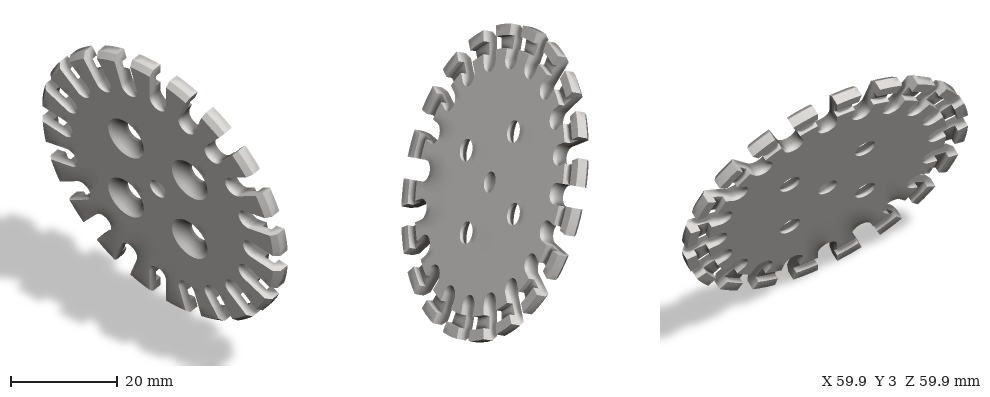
import cadquery as cq

disc_radius = 30.0
thickness = 3.0
rim_chamfer = 1.0

slot_count = 20
slot_width = 4.1
slot_center_radius = 23.45

groove_inner_radius = 25.35
groove_width = 2.5
groove_outer_radius = groove_inner_radius + groove_width
groove_depth = 1.25

center_hole_diameter = 4.0
screw_hole_diameter = 4.3
screw_head_diameter = 8.95
screw_head_angle = 90.0
screw_spacing = 16.0

front_y = -thickness / 2
back_y = thickness / 2


def plane_at(y):
    """Plane square to the disc axis: local x is X, local y is Z, normal is -Y."""
    return cq.Workplane("XZ", origin=(0, y, 0))


def make_disc():
    disc = plane_at(back_y).circle(disc_radius).extrude(thickness)
    return disc.faces("<Y").chamfer(rim_chamfer)


def make_slot(angle):
    """Round-ended cutter that runs outward past the rim."""
    half_width = slot_width / 2
    slot_end = disc_radius + slot_width
    slot = (
        plane_at(back_y)
        .moveTo(slot_end, half_width)
        .lineTo(slot_center_radius, half_width)
        .threePointArc(
            (slot_center_radius - half_width, 0),
            (slot_center_radius, -half_width),
        )
        .lineTo(slot_end, -half_width)
        .close()
        .extrude(thickness)
    )
    return slot.rotate((0, 0, 0), (0, 1, 0), angle)


def make_groove():
    return (
        plane_at(back_y)
        .circle(groove_outer_radius)
        .circle(groove_inner_radius)
        .extrude(groove_depth)
    )


def cut_holes(body):
    body = body.cut(plane_at(back_y).circle(center_hole_diameter / 2).extrude(thickness))
    return (
        body.copyWorkplane(plane_at(front_y))
        .rect(screw_spacing, screw_spacing, forConstruction=True)
        .vertices()
        .cskHole(screw_hole_diameter, screw_head_diameter, screw_head_angle)
    )


wheel = make_disc().cut(make_groove())
for index in range(slot_count):
    wheel = wheel.cut(make_slot(index * 360 / slot_count))

result = cut_holes(wheel)